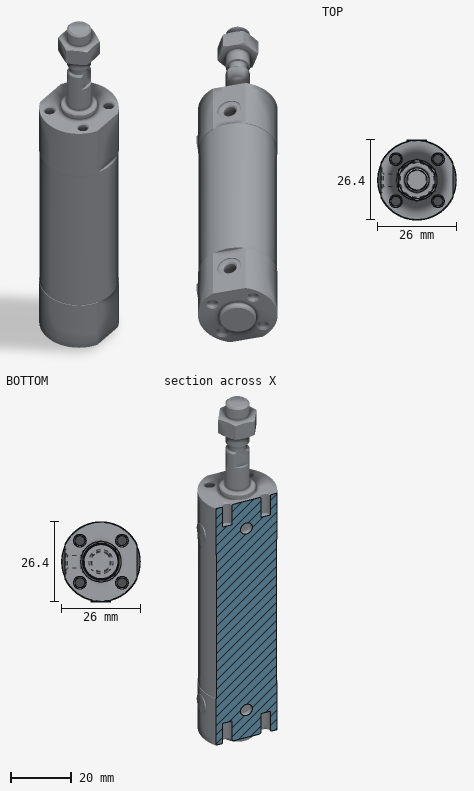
import cadquery as cq
import math

total_length = 131.0
boss_height = 2.1
cover_height = 18.5
front_face_z = 96.0
rear_face_z = boss_height

tube_dia = 26.0
cover_dia = 26.3
cover_flat_width = 23.8

boss_dia = 12.0
boss_chamfer = 0.4
boss_neck_dia = 11.8
boss_neck_height = 0.4
recess_dia = 13.4
recess_depth = 0.1

mount_spacing = 13.9
mount_hole_dia = 3.3
mount_mouth_dia = 4.2
mount_depth = 8.0

port_from_face = 11.0
port_dia = 4.2
port_mouth_dia = 5.2
port_depth = 6.0
port_seat_dia = 8.0
port_seat_depth = 0.4

pad_dia = 6.4
pad_from_face = 13.1
pad_height = 0.1

rod_dia = 8.0
thread_length = 15.5
thread_chamfer = 0.7
undercut_dia = 6.4
undercut_length = 2.5
rod_chamfer = 0.5
wrench_width = 6.0
wrench_bottom_z = 107.3

nut_flat_width = 12.0
nut_height = 6.0
nut_top_z = 126.2
nut_chamfer_angle = 20.0


def cylinder(diameter, bottom_z, height):
    """Upright cylinder on the Z axis."""
    return cq.Workplane("XY").workplane(offset=bottom_z).circle(diameter / 2).extrude(height)


def countersunk_cutter(hole_dia, mouth_dia, depth):
    """Blind hole with a 45 degree mouth, entering the part from z = 0 downwards."""
    hole_radius = hole_dia / 2
    mouth_radius = mouth_dia / 2
    profile = [
        (0, 0),
        (mouth_radius, 0),
        (hole_radius, hole_radius - mouth_radius),
        (hole_radius, -depth),
        (0, -depth),
    ]
    return cq.Workplane("XZ").polyline(profile).close().revolve(360, (0, 0), (0, 1))


def make_boss():
    """Round boss rising from the recess floor; the cover face is z = 0."""
    neck = cylinder(boss_neck_dia, -recess_depth, recess_depth + boss_neck_height)
    disc = cylinder(boss_dia, boss_neck_height, boss_height - boss_neck_height)
    return neck.union(disc.faces(">Z").chamfer(boss_chamfer))


def make_port():
    """Cutter for the air port, entering the -X flat along +X."""
    seat = cylinder(port_seat_dia, -port_seat_depth, port_seat_depth)
    cutter = countersunk_cutter(port_dia, port_mouth_dia, port_depth)
    cutter = cutter.translate((0, 0, -port_seat_depth)).union(seat)
    return cutter.rotate((0, 0, 0), (0, 1, 0), -90).translate((-cover_flat_width / 2, 0, -port_from_face))


def make_pad():
    """Low round pad standing out of the cover's +Y side."""
    pad = cylinder(pad_dia, 0, cover_dia / 2 + pad_height)
    return pad.rotate((0, 0, 0), (1, 0, 0), -90).translate((0, 0, -pad_from_face))


def make_cover():
    """End cover with its outer face at z = 0 and its boss pointing up."""
    cover = cylinder(cover_dia, -cover_height, cover_height)
    flats = cq.Workplane("XY").box(cover_flat_width, cover_dia, 2 * cover_height)
    cover = cover.intersect(flats)
    cover = cover.cut(cylinder(recess_dia, -recess_depth, recess_depth)).union(make_boss())
    mount_hole = countersunk_cutter(mount_hole_dia, mount_mouth_dia, mount_depth)
    for x in (-mount_spacing / 2, mount_spacing / 2):
        for y in (-mount_spacing / 2, mount_spacing / 2):
            cover = cover.cut(mount_hole.translate((x, y, 0)))
    return cover.union(make_pad()).cut(make_port())


def make_housing():
    """Tube and both covers, bored through the front cover for the rod."""
    tube_bottom_z = rear_face_z + cover_height
    tube_top_z = front_face_z - cover_height
    tube = cylinder(tube_dia, tube_bottom_z, tube_top_z - tube_bottom_z)
    cover = make_cover()
    front_cover = cover.translate((0, 0, front_face_z))
    rear_cover = cover.mirror("XY").translate((0, 0, rear_face_z))
    rod_hole = cylinder(rod_dia, tube_top_z, cover_height + boss_height)
    return tube.union(front_cover).union(rear_cover).cut(rod_hole)


def make_nut():
    """Hexagon nut with a corner on the Y axis and its corners chamfered at both ends."""
    corner_radius = nut_flat_width / 2 / math.cos(math.pi / 6)
    face_radius = nut_flat_width / 2
    chamfer_height = (corner_radius - face_radius) * math.tan(math.radians(nut_chamfer_angle))
    hexagon = cq.Workplane("XY").polygon(6, 2 * corner_radius).extrude(nut_height)
    hexagon = hexagon.rotate((0, 0, 0), (0, 0, 1), 30)
    profile = [
        (0, 0),
        (face_radius, 0),
        (corner_radius, chamfer_height),
        (corner_radius, nut_height - chamfer_height),
        (face_radius, nut_height),
        (0, nut_height),
    ]
    turned = cq.Workplane("XZ").polyline(profile).close().revolve(360, (0, 0), (0, 1))
    return hexagon.intersect(turned).translate((0, 0, nut_top_z - nut_height))


def make_rod():
    """Piston rod with its end nut, starting at the inner end of the front cover."""
    rod_bottom_z = front_face_z - cover_height
    thread_bottom_z = total_length - thread_length
    shank_top_z = thread_bottom_z - undercut_length
    shank = cylinder(rod_dia, rod_bottom_z, shank_top_z - rod_bottom_z).faces(">Z").chamfer(rod_chamfer)
    flat_height = shank_top_z - wrench_bottom_z
    wrench_keep = cq.Workplane("XY").box(wrench_width, rod_dia, flat_height, centered=(True, True, False))
    wrench_cut = cylinder(2 * rod_dia, 0, flat_height).cut(wrench_keep)
    shank = shank.cut(wrench_cut.translate((0, 0, wrench_bottom_z)))
    undercut = cylinder(undercut_dia, shank_top_z, undercut_length)
    thread = cylinder(rod_dia, thread_bottom_z, thread_length).faces(">Z").chamfer(thread_chamfer)
    return shank.union(undercut).union(thread).union(make_nut())


housing = make_housing()
rod = make_rod()
result = cq.Compound.makeCompound([housing.val(), rod.val()])